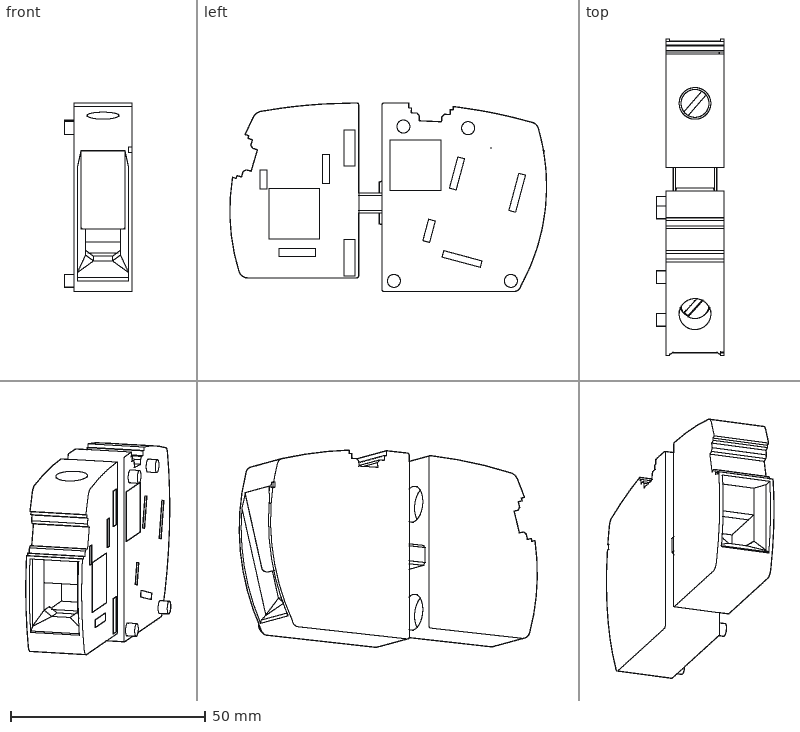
import cadquery as cq
import math

WIDTH = 15.0
HALF_WIDTH = WIDTH / 2
HEIGHT = 48.6
FRONT_DEPTH = 42.4
GAP = 5.95
REAR_DEPTH = 33.2
REAR_BASE = 3.5
SIDE_RADIUS = 53.0
EDGE_ROUND = 0.6

NOTCH_HALF_FLOOR = 2.85
NOTCH_CUT_HEIGHT = 9.8
FRONT_NOTCH = (-12.5, 43.9, 92.5)
REAR_NOTCH = (GAP + 26.9, 33.8, 16.4)
NOTCH_FLANK = [(0, 0), (0, 1.2), (0.65, 1.95), (2.1, 1.95), (2.1, 3.2), (2.85, 3.2), (2.85, 4.2)]

LINK_Z = 22.85
LINK_WIDTH = 11.3
LINK_THICKNESS = 5.2
LINK_CHAMFER = 0.65
LINK_INSERTION = 8.15
COLLAR_THICKNESS = 0.7
COLLAR_TAPER = 0.25

TILT = 15.0
FRONT_TERMINAL = (0, -22.6, 11.3)
REAR_TERMINAL = (0, GAP + 16.6, REAR_BASE + 9.9)

MOUTH_OUT = 13.5
MOUTH_WIDTH = 13.05
MOUTH_FACET = 0.1
MOUTH_END = 24.9
FRONT_MOUTH_TOP = 29.1
REAR_MOUTH_TOP = 15.25

THROAT_OUT = 9.9
THROAT_IN = 5.1
THROAT_WIDTH = 9.0
THROAT_FLOOR_WIDTH = 4.9
THROAT_FLOOR = -0.8
THROAT_CORNER = 0.7
PASSAGE_BACK = -5.9

RAMP_SLOPE = -0.57
RAMP_OUT = 15.2
LIP_OUT = 15.8
LIP_FLOOR = -5.05
MOUTH_FLOOR = THROAT_FLOOR + RAMP_SLOPE * (MOUTH_OUT - THROAT_OUT)
RAMP_FLOOR = THROAT_FLOOR + RAMP_SLOPE * (RAMP_OUT - THROAT_OUT)

CLAMP_WIDTH = 11.4
CLAMP_BOTTOM = 7.9
CLAMP_ROUND = 1.4
PLATE_TOP = 29.1
PLATE_THICKNESS = 2.85
FRONT_CLAMP_OUT = 12.1
REAR_CLAMP_OUT = 7.35

SCREW_RADIUS = 3.6
SCREW_LENGTH = 9.8
SCREW_TOP = 26.3
SCREW_SLOT_WIDTH = 1.5
SCREW_SLOT_DEPTH = 1.2
SCREW_SLOT_ANGLE = 49.0
ACCESS_RADIUS = 4.1
CLAMP_TOP = 23.7
ACCESS_HEIGHT = 24.5

PIN_DIAMETER = 3.35
PIN_LENGTH = 2.45
PIN_CENTRES = [(-3.1, 2.8), (-33.2, 2.8), (-5.55, 42.5), (-22.2, 42.1)]

SOCKET_RADIUS = 4.65
SOCKET_DEPTH = 3.4
SOCKET_HEIGHTS = [REAR_BASE + 5.2, REAR_BASE + 33.45]

RIM_NICK_WIDTH = 1.0
RIM_NICK_FLOOR = 41.0
RIM_NICK_BOTTOM = 35.8
RIM_NICK_HEIGHT = 1.4

MARK_DEPTH = 0.1
LABEL_SIDE = 13.05
FRONT_MARKS = [
    (-8.65, 32.55, LABEL_SIDE, LABEL_SIDE, 0),
    (-19.3, 30.4, 1.8, 8.3, TILT),
    (-34.8, 25.45, 1.8, 9.9, TILT),
    (-12.15, 15.7, 1.8, 5.7, TILT),
    (-20.65, 8.4, 10.2, 1.7, TILT),
]
REAR_MARKS = [
    (GAP + 16.65, 20.1, LABEL_SIDE, LABEL_SIDE, 0),
    (GAP + 24.55, 28.9, 1.8, 5.0, 0),
    (GAP + 8.5, 31.6, 1.8, 7.4, 0),
    (GAP + 15.8, 10.0, 9.5, 2.0, 0),
    *[(GAP + 2.4, height, 2.8, 2 * SOCKET_RADIUS, 0) for height in SOCKET_HEIGHTS],
]


def box(x_range, y_range, z_range):
    """Box between the given limits."""
    (x0, x1), (y0, y1), (z0, z1) = x_range, y_range, z_range
    return cq.Workplane("XY").box(x1 - x0, y1 - y0, z1 - z0, centered=False).translate((x0, y0, z0))


def centred_box(width, y_range, z_range):
    """Box between the given limits, centred on X = 0."""
    return box((-width / 2, width / 2), y_range, z_range)


def side_plane(x):
    """Sketch plane at X = x, with Y across and Z up."""
    return cq.Workplane("YZ", origin=(x, 0, 0))


def side_reach(depth, z, apex_z):
    """Distance of the bulging side from the flat face of a housing, at height z."""
    return depth - SIDE_RADIUS + math.sqrt(SIDE_RADIUS**2 - (z - apex_z) ** 2)


def in_front(shape):
    """Move a shape from the terminal frame to the leaning front terminal."""
    return shape.rotate((0, 0, 0), (1, 0, 0), TILT).translate(FRONT_TERMINAL)


def in_rear(shape):
    """Move a shape from the terminal frame to the upright rear terminal."""
    return shape.rotate((0, 0, 0), (0, 0, 1), 180).translate(REAR_TERMINAL)


def label_notch(floor_y, floor_z, opening_angle):
    """Stepped notch across the whole width of a housing."""
    right = [(NOTCH_HALF_FLOOR + out, up) for out, up in NOTCH_FLANK]
    right.append((right[-1][0], NOTCH_CUT_HEIGHT))
    left = [(-out, up) for out, up in reversed(right)]
    notch = side_plane(-HALF_WIDTH).polyline(right + left).close().extrude(WIDTH)
    return notch.rotate((0, 0, 0), (1, 0, 0), opening_angle - 90).translate((0, floor_y, floor_z))


def side_marks(marks):
    """Shallow recesses in the -X face of a housing."""
    recesses = cq.Workplane("YZ")
    for y, z, size_y, size_z, turn in marks:
        mark = side_plane(-HALF_WIDTH).rect(size_y, size_z).extrude(MARK_DEPTH)
        recesses = recesses.union(mark.rotate((0, 0, 0), (1, 0, 0), turn).translate((0, y, z)))
    return recesses


def mouth_section(out, width, floor_width, corner, floor, top):
    """Closed wire across the wire mouth, with its two lower corners cut off."""
    right = [(floor_width / 2, floor), (width / 2, corner), (width / 2, top)]
    left = [(-x, z) for x, z in reversed(right)]
    return cq.Wire.makePolygon([cq.Vector(x, -out, z) for x, z in right + left], close=True)


def throat_section(out, top):
    """Closed wire across the throat."""
    return mouth_section(out, THROAT_WIDTH, THROAT_FLOOR_WIDTH, THROAT_CORNER, THROAT_FLOOR, top)


def wire_mouth(top):
    """Outer part of the wire entry, with parallel sides and a sloping floor."""
    ramp = [(MOUTH_OUT, MOUTH_FLOOR), (RAMP_OUT, RAMP_FLOOR)]
    floor = [*ramp, (LIP_OUT, LIP_FLOOR), (MOUTH_END, LIP_FLOOR)]
    profile = [(-out, z) for out, z in [*floor, (MOUTH_END, top), (MOUTH_OUT, top)]]
    return side_plane(-MOUTH_WIDTH / 2).polyline(profile).close().extrude(MOUTH_WIDTH)


def wire_entry(top):
    """Wire mouth, funnel, throat and passage, as one cutting shape."""
    mouth_edge = mouth_section(
        MOUTH_OUT,
        MOUTH_WIDTH,
        MOUTH_WIDTH - 2 * MOUTH_FACET,
        MOUTH_FLOOR + MOUTH_FACET,
        MOUTH_FLOOR,
        top,
    )
    funnel = cq.Solid.makeLoft([mouth_edge, throat_section(THROAT_OUT, top)], True)
    throat_ends = [throat_section(out, CLAMP_BOTTOM) for out in (THROAT_OUT, THROAT_IN)]
    throat = cq.Solid.makeLoft(throat_ends, True)
    passage = centred_box(THROAT_WIDTH, (-THROAT_IN, -PASSAGE_BACK), (0, CLAMP_BOTTOM))
    return wire_mouth(top).union(cq.Workplane(funnel)).union(cq.Workplane(throat)).union(passage)


def clamp_block(out):
    """Block with an upright outer plate and a rounded lower outer edge."""
    block = centred_box(CLAMP_WIDTH, (-out, -PASSAGE_BACK), (CLAMP_BOTTOM, CLAMP_TOP))
    plate = centred_box(CLAMP_WIDTH, (-out, -out + PLATE_THICKNESS), (CLAMP_BOTTOM, PLATE_TOP))
    return block.union(plate).faces("<Y").edges("<Z").fillet(CLAMP_ROUND)


def access_hole():
    """Screwdriver hole, down to the clamp, with clearance around the screw head."""
    return cq.Workplane("XY").workplane(offset=CLAMP_TOP).circle(ACCESS_RADIUS).extrude(ACCESS_HEIGHT)


def screw_shank():
    """Plain cylinder of the screw, which also cuts its hole."""
    return cq.Workplane("XY").workplane(offset=SCREW_TOP).circle(SCREW_RADIUS).extrude(-SCREW_LENGTH)


def make_screw():
    """Clamping screw with a driver slot."""
    slot = centred_box(
        2 * SCREW_RADIUS,
        (-SCREW_SLOT_WIDTH / 2, SCREW_SLOT_WIDTH / 2),
        (SCREW_TOP - SCREW_SLOT_DEPTH, SCREW_TOP),
    )
    return screw_shank().cut(slot.rotate((0, 0, 0), (0, 0, 1), SCREW_SLOT_ANGLE))


def make_clamp(out):
    """Clamp block with its screw hole."""
    return clamp_block(out).cut(screw_shank())


def terminal_space(clamp_out, mouth_top):
    """Everything that a terminal removes from its housing."""
    return wire_entry(mouth_top).union(clamp_block(clamp_out)).union(access_hole())


def link_bar():
    """Flat bar with chamfered long edges, running into both housings."""
    bar = centred_box(
        LINK_WIDTH,
        (-LINK_INSERTION, GAP + LINK_INSERTION),
        (LINK_Z - LINK_THICKNESS / 2, LINK_Z + LINK_THICKNESS / 2),
    )
    return bar.edges("|Y").chamfer(LINK_CHAMFER)


def make_link():
    """Bar with a slightly conical collar that rests on the front housing."""
    collar = cq.Solid.makeCone(
        LINK_WIDTH / 2,
        LINK_WIDTH / 2 - COLLAR_TAPER,
        COLLAR_THICKNESS,
        cq.Vector(0, 0, LINK_Z),
        cq.Vector(0, 1, 0),
    )
    return link_bar().union(cq.Workplane(collar))


def front_outline():
    """Side outline of the front housing, with its label notch still filled."""
    apex_z = 27.2
    side_bottom_z = 1.5
    side_top_z = 41.7
    side_bottom = (-side_reach(FRONT_DEPTH, side_bottom_z, apex_z), side_bottom_z)
    side_top = (-side_reach(FRONT_DEPTH, side_top_z, apex_z), side_top_z)
    return (
        side_plane(-HALF_WIDTH)
        .moveTo(0, 0)
        .lineTo(-34.1, 0)
        .threePointArc((-35.25, 0.5), side_bottom)
        .threePointArc((-FRONT_DEPTH, apex_z), side_top)
        .threePointArc((-39.8, 42.9), (-38.5, 43.65))
        .threePointArc((-28.7, 46.0), (-18.3, 47.7))
        .lineTo(-7.2, HEIGHT)
        .lineTo(0, HEIGHT)
        .close()
    )


def make_front_housing():
    """Front housing with its locating pins."""
    housing = front_outline().extrude(WIDTH)
    housing = housing.faces(">Y").edges("|X").fillet(EDGE_ROUND)
    housing = housing.cut(label_notch(*FRONT_NOTCH))
    pins = side_plane(-HALF_WIDTH).pushPoints(PIN_CENTRES).circle(PIN_DIAMETER / 2).extrude(-PIN_LENGTH)
    nick = box(
        (HALF_WIDTH - RIM_NICK_WIDTH, HALF_WIDTH),
        (-FRONT_DEPTH, -RIM_NICK_FLOOR),
        (RIM_NICK_BOTTOM, RIM_NICK_BOTTOM + RIM_NICK_HEIGHT),
    )
    housing = housing.cut(in_front(terminal_space(FRONT_CLAMP_OUT, FRONT_MOUTH_TOP)))
    return housing.cut(link_bar()).cut(nick).cut(side_marks(FRONT_MARKS)).union(pins)


def rear_outline():
    """Side outline of the rear housing, with its label notch still filled."""
    apex_z = 20.8
    side_bottom_z = 5.4
    side_top_z = 29.6
    crown_radius = 146.9
    crown_end = 25.3

    def crown(reach):
        """Point on the arched top, at the given distance from the flat face."""
        drop = crown_radius - math.sqrt(crown_radius**2 - reach**2)
        return (GAP + reach, HEIGHT - drop)

    side_bottom = (GAP + side_reach(REAR_DEPTH, side_bottom_z, apex_z), side_bottom_z)
    side_top = (GAP + side_reach(REAR_DEPTH, side_top_z, apex_z), side_top_z)
    return (
        side_plane(-HALF_WIDTH)
        .moveTo(GAP, REAR_BASE)
        .lineTo(GAP + 28.6, REAR_BASE)
        .threePointArc((GAP + 30.1, 4.1), side_bottom)
        .threePointArc((GAP + REAR_DEPTH, apex_z), side_top)
        .lineTo(GAP + 29.4, 40.3)
        .lineTo(GAP + 27.25, 44.8)
        .threePointArc((GAP + 26.5, 45.8), crown(crown_end))
        .threePointArc(crown(crown_end / 2), (GAP, HEIGHT))
        .close()
    )


def make_rear_housing():
    """Rear housing with two round sockets in its flat face."""
    housing = rear_outline().extrude(WIDTH)
    housing = housing.faces("<Y").edges("|X").fillet(EDGE_ROUND)
    housing = housing.cut(label_notch(*REAR_NOTCH))
    sockets = (
        cq.Workplane("XZ", origin=(0, GAP, 0))
        .pushPoints([(0, height) for height in SOCKET_HEIGHTS])
        .circle(SOCKET_RADIUS)
        .extrude(-SOCKET_DEPTH)
    )
    housing = housing.cut(in_rear(terminal_space(REAR_CLAMP_OUT, REAR_MOUTH_TOP)))
    return housing.cut(link_bar()).cut(sockets).cut(side_marks(REAR_MARKS))


front_housing = make_front_housing()
rear_housing = make_rear_housing()
link = make_link()
front_clamp = in_front(make_clamp(FRONT_CLAMP_OUT))
rear_clamp = in_rear(make_clamp(REAR_CLAMP_OUT))
screws = [place(make_screw()) for place in (in_front, in_rear)]

result = cq.Compound.makeCompound(
    [
        front_housing.val(),
        rear_housing.val(),
        link.val(),
        front_clamp.val(),
        rear_clamp.val(),
        *[screw.val() for screw in screws],
    ]
)